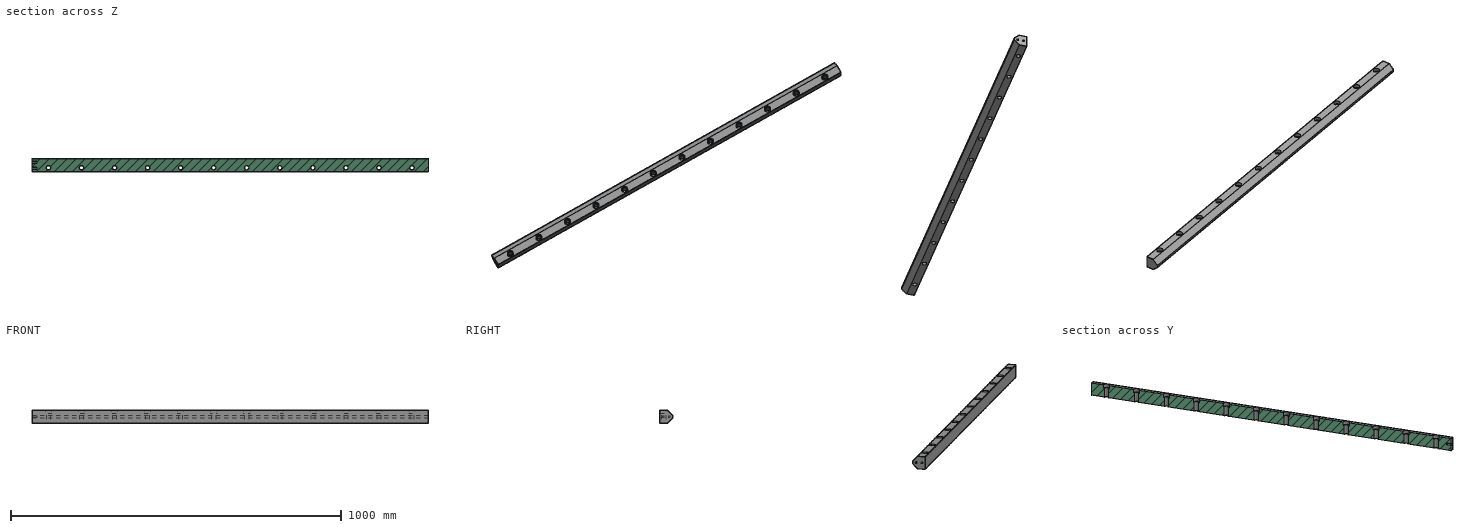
import cadquery as cq

length = 1200.0
depth = 40.0
height = 40.0
bevel = 16.0
land_width = depth - bevel

hole_count = 12
hole_pitch = length / hole_count
hole_diameter = 12.5
counterbore_diameter = 18.5
counterbore_depth = 10.5
hole_y = 12.5

end_hole_diameter = 5.25
end_hole_spacing = 18.0
end_hole_depth = 15.0

edge_chamfer = 1.0


def make_bar():
    """Six-sided section in the YZ plane, extruded along X."""
    outline = [
        (0, 0),
        (land_width, 0),
        (depth, bevel),
        (depth, height - bevel),
        (land_width, height),
        (0, height),
    ]
    return cq.Workplane("YZ").polyline(outline).close().extrude(length)


def chamfer_edges(bar):
    """Chamfer the four front edges and both end edges of each land."""
    return bar.edges("(<Y) or (>Z and |Y) or (<Z and |Y)").chamfer(edge_chamfer)


def cut_mounting_holes(bar):
    """Row of counterbored holes running from the top face to the bottom."""
    centres = [((i + 0.5) * hole_pitch, hole_y) for i in range(hole_count)]
    return (
        bar.copyWorkplane(cq.Workplane("XY", origin=(0, 0, height)))
        .pushPoints(centres)
        .cboreHole(hole_diameter, counterbore_diameter, counterbore_depth)
    )


def cut_end_holes(bar):
    """Two blind holes at mid height, spaced evenly about the middle of the depth."""
    centres = [(depth / 2 + side * end_hole_spacing / 2, height / 2) for side in (-1, 1)]
    drills = (
        cq.Workplane("YZ")
        .pushPoints(centres)
        .circle(end_hole_diameter / 2)
        .extrude(end_hole_depth)
    )
    return bar.cut(drills)


bar = chamfer_edges(make_bar())
bar = cut_mounting_holes(bar)
result = cut_end_holes(bar)